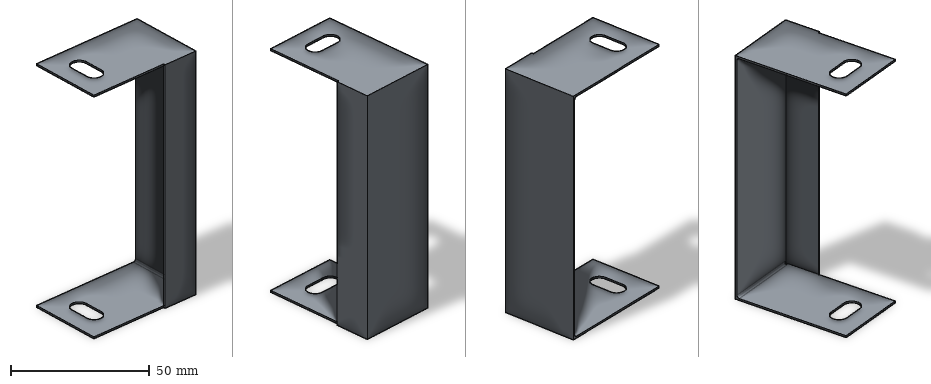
import cadquery as cq

width = 31.8
depth = 49.1
height = 101.6
thickness = 0.8
side_flange_depth = 15.0
bend_radius = 1.0
bend_end_gap = 0.8
slot_length = 15.0
slot_width = 7.0
slot_x = 15.0
slot_y = 10.9

flange_width = width - thickness
bend_length = flange_width - bend_end_gap
back_face_y = depth - thickness


def corner_box(x_size, y_size, z_size, x=0, y=0, z=0):
    """Box whose minimum corner is at (x, y, z)."""
    return cq.Workplane("XY").box(x_size, y_size, z_size, centered=False).translate((x, y, z))


def end_flange(z):
    """Horizontal flange with its slot, its lower face at height z."""
    slot = (
        cq.Workplane("XY", origin=(slot_x, slot_y, z))
        .slot2D(slot_length, slot_width)
        .extrude(thickness)
    )
    return corner_box(flange_width, depth, thickness, z=z).cut(slot)


def bend_fillet(z, inward):
    """Concave fillet along the back wall; inward is the Z direction into the bracket."""
    return (
        cq.Workplane("YZ")
        .moveTo(back_face_y, z)
        .lineTo(back_face_y, z + inward * bend_radius)
        .radiusArc((back_face_y - bend_radius, z), inward * bend_radius)
        .close()
        .extrude(bend_length)
    )


back_wall = corner_box(width, thickness, height, y=back_face_y)
side_flange = corner_box(
    thickness, side_flange_depth, height, x=flange_width, y=depth - side_flange_depth
)

result = back_wall.union(side_flange)
for flange_z, inner_z, inward in (
    (0, thickness, 1),
    (height - thickness, height - thickness, -1),
):
    result = result.union(end_flange(flange_z)).union(bend_fillet(inner_z, inward))